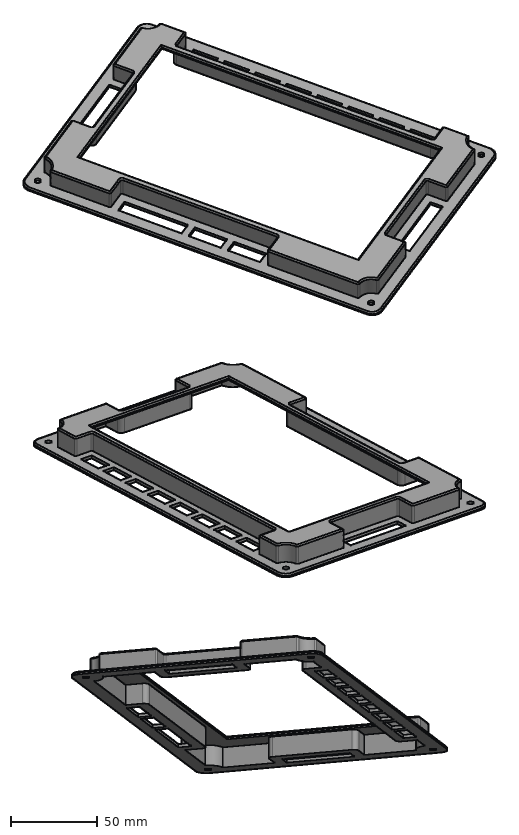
import cadquery as cq

LENGTH = 234.0
WIDTH = 154.0
HEIGHT = 14.0
FLANGE_THICKNESS = 2.0
CORNER_RADIUS = 6.5
EDGE_BREAK = 1.0

HOLE_INSET = 8.0
HOLE_DIAMETER = 3.7
HOLE_X = LENGTH / 2 - HOLE_INSET
HOLE_Y = WIDTH / 2 - HOLE_INSET

FRAME_INSET = 7.7
FRAME_X = LENGTH / 2 - FRAME_INSET
FRAME_Y = WIDTH / 2 - FRAME_INSET
WALL = 2.0
UPRIGHT_RADIUS = 1.05
SCALLOP_RADIUS = 8.0
WINDOW_LEFT, WINDOW_RIGHT = -91.0, 91.0
WINDOW_BOTTOM, WINDOW_TOP = -51.0, 52.0
RIM = 5.0

TOP_RECESS_HALF = 84.0
SIDE_RECESS_HALF = 25.5
BOTTOM_RECESS_LEFT, BOTTOM_RECESS_RIGHT = -61.3, 41.2

SLOT_DEPTH = 8.0
SHORT_SLOT = 16.0
MEDIUM_SLOT = 21.0
LONG_SLOT = 41.5
SLOT_MARGIN = 5.0
TOP_SLOT_COUNT = 8
BOTTOM_SLOTS = (LONG_SLOT, MEDIUM_SLOT, MEDIUM_SLOT)


def box(left, right, bottom, top, low=-HEIGHT, high=2 * HEIGHT):
    """Axis-aligned block given by its limits; by default taller than the part."""
    block = cq.Workplane("XY").box(right - left, top - bottom, high - low, centered=False)
    return block.translate((left, bottom, low))


def flange():
    plate = cq.Workplane("XY").box(LENGTH, WIDTH, FLANGE_THICKNESS, centered=(True, True, False))
    plate = plate.edges("|Z").fillet(CORNER_RADIUS)
    return plate.faces(">Z").edges().chamfer(EDGE_BREAK)


def corner_posts(radius):
    """Cylinders around the four screw hole axes."""
    return (
        cq.Workplane("XY")
        .workplane(offset=-HEIGHT)
        .rect(2 * HOLE_X, 2 * HOLE_Y, forConstruction=True)
        .vertices()
        .circle(radius)
        .extrude(3 * HEIGHT)
    )


def frame_body():
    """Solid block with recessed sides, scalloped corners and rounded upright edges."""
    body = box(-FRAME_X, FRAME_X, -FRAME_Y, FRAME_Y, 0, HEIGHT)
    recesses = (
        box(-TOP_RECESS_HALF, TOP_RECESS_HALF, WINDOW_TOP + RIM, WIDTH),
        box(BOTTOM_RECESS_LEFT, BOTTOM_RECESS_RIGHT, -WIDTH, WINDOW_BOTTOM - RIM),
        box(-LENGTH, WINDOW_LEFT - RIM, -SIDE_RECESS_HALF, SIDE_RECESS_HALF),
        box(WINDOW_RIGHT + RIM, LENGTH, -SIDE_RECESS_HALF, SIDE_RECESS_HALF),
    )
    for recess in recesses:
        body = body.cut(recess)
    return body.cut(corner_posts(SCALLOP_RADIUS)).edges("|Z").fillet(UPRIGHT_RADIUS)


def frame_cavity(body):
    """Hollow below the roof, one wall thickness inside the outline of the body."""
    outline = body.faces("<Z").wires().toPending()
    return outline.offset2D(-WALL).extrude(HEIGHT - WALL, combine=False)


def window():
    """Opening through the roof, widened by a bevel at its top edge."""
    opening = box(WINDOW_LEFT, WINDOW_RIGHT, WINDOW_BOTTOM, WINDOW_TOP)
    bevel = (
        cq.Workplane("XY")
        .workplane(offset=HEIGHT)
        .center((WINDOW_LEFT + WINDOW_RIGHT) / 2, (WINDOW_BOTTOM + WINDOW_TOP) / 2)
        .rect(WINDOW_RIGHT - WINDOW_LEFT + 2 * EDGE_BREAK, WINDOW_TOP - WINDOW_BOTTOM + 2 * EDGE_BREAK)
        .extrude(-2 * EDGE_BREAK, taper=45)
    )
    return opening.union(bevel)


def slot_row(left, right, lengths, bottom):
    """Slots of the given lengths, evenly spaced between left and right."""
    gap = (right - left - sum(lengths)) / (len(lengths) - 1)
    row = cq.Workplane("XY")
    for length in lengths:
        row = row.add(box(left, left + length, bottom, bottom + SLOT_DEPTH))
        left += length + gap
    return row.combine()


top_slot_end = TOP_RECESS_HALF - SLOT_MARGIN
top_slots = slot_row(-top_slot_end, top_slot_end, [SHORT_SLOT] * TOP_SLOT_COUNT, HOLE_Y - SLOT_DEPTH)
bottom_slots = slot_row(
    BOTTOM_RECESS_LEFT + SLOT_MARGIN, BOTTOM_RECESS_RIGHT - SLOT_MARGIN, BOTTOM_SLOTS, -HOLE_Y
)
left_slot = box(-HOLE_X, -HOLE_X + SLOT_DEPTH, -LONG_SLOT / 2, LONG_SLOT / 2)
right_slot = left_slot.mirror("YZ")

body = frame_body()
raised_frame = body.faces(">Z").edges().chamfer(EDGE_BREAK)
openings = (
    frame_cavity(body),
    window(),
    top_slots,
    bottom_slots,
    left_slot,
    right_slot,
    corner_posts(HOLE_DIAMETER / 2),
)

result = flange().union(raised_frame)
for opening in openings:
    result = result.cut(opening)